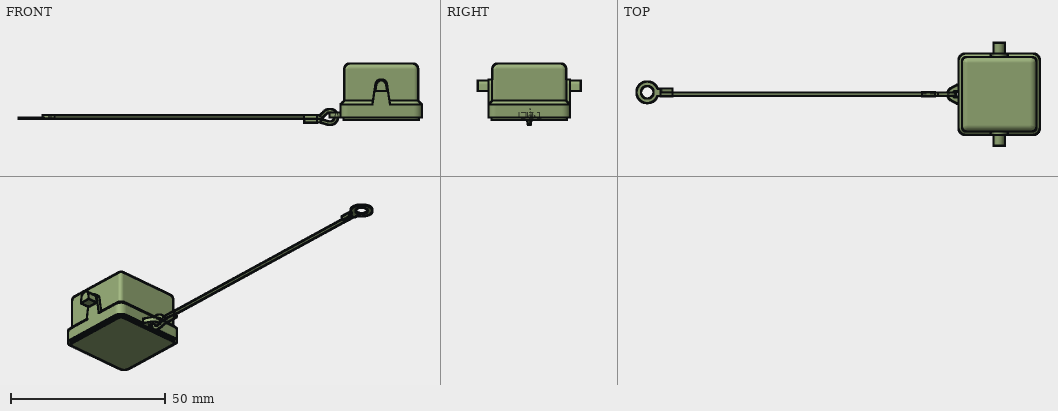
import cadquery as cq
import math

body_size = 24.0
hood_height = 17.6
body_corner_radius = 1.25
top_edge_radius = 1.9
flange_step = 1.25
flange_size = body_size + 2 * flange_step
flange_height = 5.5
flange_corner_radius = body_corner_radius + flange_step
gasket_inset = 1.0
gasket_size = flange_size - 2 * gasket_inset
gasket_thickness = 0.75

pin_span = 33.5
pin_radius = 1.6
pin_axis_z = 10.5
pin_flat_z = 8.6
side_taper = 8.5
tongue_margin = 0.3

cable_radius = 0.6
cable_z = 0.25

sleeve_radius = 0.65
strand_pitch = 1.25
ferrule_start_x = -25.0
ferrule_end_x = -20.75
terminal_start_x = -109.75
terminal_end_x = -105.75

loop_x = -16.6
loop_radius = 2.05
loop_elbow_x = -19.6

tab_thickness = 1.7
tab_root_half_width = 3.3
tab_nose_x = -14.5
tab_nose_radius = 2.3
tab_root_x = -flange_size / 2
tab_hole_radius = 1.0
tab_bite = 0.1
loop_inner_x = loop_x + loop_radius - cable_radius
tab_hole_x = loop_inner_x + tab_bite + tab_hole_radius

overall_length = 130.75
ring_outer_radius = 3.55
ring_hole_radius = 2.0
ring_thickness = 0.4
ring_neck_width = 2.4
neck_overlap = 0.5
ring_x = flange_size / 2 - overall_length + ring_outer_radius
ring_y = strand_pitch / 2
ring_z = cable_z - sleeve_radius


def block(size, bottom_z, height):
    """Square block centred on the Z axis."""
    return cq.Workplane("XY").workplane(offset=bottom_z).rect(size, size).extrude(height)


def make_hood():
    body = block(body_size, 0, hood_height).edges("|Z").fillet(body_corner_radius)
    body = body.faces(">Z").edges().fillet(top_edge_radius)
    flange = block(flange_size, 0, flange_height).edges("|Z").fillet(flange_corner_radius)
    flange = flange.faces(">Z").edges().chamfer(flange_step)
    gasket = block(gasket_size, -gasket_thickness, gasket_thickness)
    gasket = gasket.edges("|Z").fillet(flange_corner_radius - gasket_inset)
    return body.union(flange).union(gasket)


def tapered_arch(radius, bottom_z, span):
    """Bar along Y with a round top and sides that widen downwards."""
    taper = math.radians(side_taper)
    side_x = radius * math.cos(taper)
    side_z = pin_axis_z + radius * math.sin(taper)
    foot_x = side_x + (side_z - bottom_z) * math.tan(taper)
    return (
        cq.Workplane("XZ")
        .moveTo(-foot_x, bottom_z)
        .lineTo(-side_x, side_z)
        .threePointArc((0, pin_axis_z + radius), (side_x, side_z))
        .lineTo(foot_x, bottom_z)
        .close()
        .extrude(span / 2, both=True)
    )


def make_tab():
    """Flat tab whose straight sides run tangent into a round nose."""
    root_dx = tab_root_x - tab_nose_x
    root_distance = math.hypot(root_dx, tab_root_half_width)
    tangent_angle = math.atan2(tab_root_half_width, root_dx) + math.acos(tab_nose_radius / root_distance)
    tangent_x = tab_nose_x + tab_nose_radius * math.cos(tangent_angle)
    tangent_y = tab_nose_radius * math.sin(tangent_angle)
    tab = (
        cq.Workplane("XY")
        .moveTo(tab_root_x, tab_root_half_width)
        .lineTo(tangent_x, tangent_y)
        .threePointArc((tab_nose_x - tab_nose_radius, 0), (tangent_x, -tangent_y))
        .lineTo(tab_root_x, -tab_root_half_width)
        .lineTo(tab_root_x + flange_step, -tab_root_half_width)
        .lineTo(tab_root_x + flange_step, tab_root_half_width)
        .close()
        .extrude(tab_thickness)
    )
    hole = cq.Workplane("XY").center(tab_hole_x, 0).circle(tab_hole_radius).extrude(tab_thickness)
    return tab.cut(hole)


def rod(start_x, end_x, y, z, radius):
    """Round bar along X."""
    return cq.Workplane("YZ", origin=(start_x, 0, 0)).center(y, z).circle(radius).extrude(end_x - start_x)


def loop_tangent(elbow_z, side):
    """Point where a strand from its elbow meets the loop; side is +1 above, -1 below."""
    dx = loop_elbow_x - loop_x
    dz = elbow_z - cable_z
    angle = math.atan2(dz, dx) - side * math.acos(loop_radius / math.hypot(dx, dz))
    return loop_x + loop_radius * math.cos(angle), cable_z + loop_radius * math.sin(angle)


def make_loop():
    lower_z = cable_z - strand_pitch
    path = (
        cq.Workplane("XZ")
        .moveTo(ferrule_end_x, cable_z)
        .lineTo(loop_elbow_x, cable_z)
        .lineTo(*loop_tangent(cable_z, 1))
        .threePointArc((loop_x + loop_radius, cable_z), loop_tangent(lower_z, -1))
        .lineTo(loop_elbow_x, lower_z)
        .lineTo(ferrule_end_x, lower_z)
    )
    section = cq.Workplane("YZ", origin=(ferrule_end_x, 0, cable_z)).circle(cable_radius)
    return section.sweep(path, transition="round")


def make_ferrule():
    upper = rod(ferrule_start_x, ferrule_end_x, 0, cable_z, sleeve_radius)
    lower = rod(ferrule_start_x, ferrule_end_x, 0, cable_z - strand_pitch, sleeve_radius)
    return upper.union(lower)


def make_terminal():
    plate = cq.Workplane("XY", origin=(ring_x, ring_y, ring_z))
    neck_length = terminal_start_x + neck_overlap - ring_x
    neck = plate.center(neck_length / 2, 0).rect(neck_length, ring_neck_width).extrude(ring_thickness)
    ring = plate.circle(ring_outer_radius).extrude(ring_thickness).union(neck)
    ring = ring.cut(plate.circle(ring_hole_radius).extrude(ring_thickness))
    for barrel_y in (0, strand_pitch):
        ring = ring.union(rod(terminal_start_x, terminal_end_x, barrel_y, cable_z, sleeve_radius))
    return ring


hood = make_hood()
hood = hood.union(tapered_arch(pin_radius + tongue_margin, 0, flange_size))
hood = hood.union(tapered_arch(pin_radius, pin_flat_z, pin_span))
hood = hood.union(make_tab())

cable = rod(terminal_start_x, ferrule_end_x, 0, cable_z, cable_radius)
tether = make_terminal().union(cable).union(make_ferrule()).union(make_loop())

result = hood.union(tether)